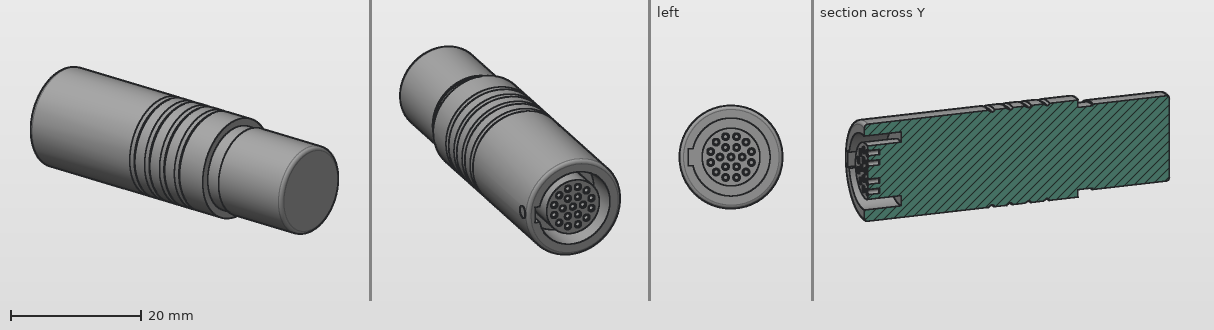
import cadquery as cq
import math

length = 50.0
body_radius = 7.95
body_end = 35.0
neck_end = 37.4
neck_radius = 6.75
tail_radius = 7.0
end_fillet = 0.6

groove_count = 4
groove_start = 20.3
groove_pitch = 3.0
groove_fall = 0.6
groove_rise = 0.4
groove_depth = 0.35

socket_radius = 6.0
socket_depth = 6.0
insert_radius = 4.45
insert_recess = 0.5
keyway_reach = 6.6
keyway_width = 2.6

inner_ring_count = 6
inner_ring_radius = 1.7
outer_ring_count = 12
outer_ring_radius = 3.25
contact_rim_radius = 0.55
contact_rim_depth = 0.2
contact_bore_radius = 0.375
contact_bore_depth = 2.0

mark_radius = 1.0
mark_position = 1.85
mark_depth = 0.1


def cylinder_x(radius, start, end, y=0.0, z=0.0):
    """Solid cylinder parallel to X between two X positions."""
    return cq.Workplane("YZ", origin=(start, y, z)).circle(radius).extrude(end - start)


def make_body():
    front = cylinder_x(body_radius, 0, body_end).faces("<X").edges().fillet(end_fillet)
    neck = cylinder_x(neck_radius, body_end, neck_end)
    tail = cylinder_x(tail_radius, neck_end, length).faces(">X").edges().fillet(end_fillet)
    return front.union(neck).union(tail)


def make_groove(start):
    """Ring cutter whose arc leaves the groove bottom parallel to X."""
    bottom_x = start + groove_fall
    bottom_radius = body_radius - groove_depth
    end = bottom_x + groove_rise
    arc_radius = (groove_rise**2 + groove_depth**2) / (2 * groove_depth)
    half_sweep = math.asin(groove_rise / arc_radius) / 2
    arc_middle = (
        bottom_x + arc_radius * math.sin(half_sweep),
        bottom_radius + arc_radius * (1 - math.cos(half_sweep)),
    )
    return (
        cq.Workplane("XY")
        .moveTo(start, body_radius)
        .lineTo(bottom_x, bottom_radius)
        .threePointArc(arc_middle, (end, body_radius))
        .lineTo(end, body_radius + groove_depth)
        .lineTo(start, body_radius + groove_depth)
        .close()
        .revolve(360, (0, 0, 0), (1, 0, 0))
    )


def make_socket():
    keyway = cq.Workplane("XY").box(
        socket_depth, keyway_reach, keyway_width, centered=(False, False, True)
    )
    insert = cylinder_x(insert_radius, insert_recess, socket_depth)
    return cylinder_x(socket_radius, 0, socket_depth).union(keyway).cut(insert)


def ring_points(count, radius, first_angle):
    angles = [first_angle + 2 * math.pi * i / count for i in range(count)]
    return [(radius * math.cos(a), radius * math.sin(a)) for a in angles]


def make_contacts():
    points = [(0, 0)]
    points += ring_points(inner_ring_count, inner_ring_radius, 0)
    points += ring_points(outer_ring_count, outer_ring_radius, math.pi / outer_ring_count)
    face = cq.Workplane("YZ", origin=(insert_recess, 0, 0)).pushPoints(points)
    rims = face.circle(contact_rim_radius).extrude(contact_rim_depth)
    bores = face.circle(contact_bore_radius).extrude(contact_bore_depth)
    return rims.union(bores)


def make_mark():
    """Flat-bottomed round cutter entering from the +Y side."""
    floor = cq.Workplane("XZ", origin=(mark_position, body_radius - mark_depth, 0))
    return floor.circle(mark_radius).extrude(-2 * mark_depth)


result = make_body()
for groove_index in range(groove_count):
    result = result.cut(make_groove(groove_start + groove_index * groove_pitch))
result = result.cut(make_socket()).cut(make_contacts()).cut(make_mark())